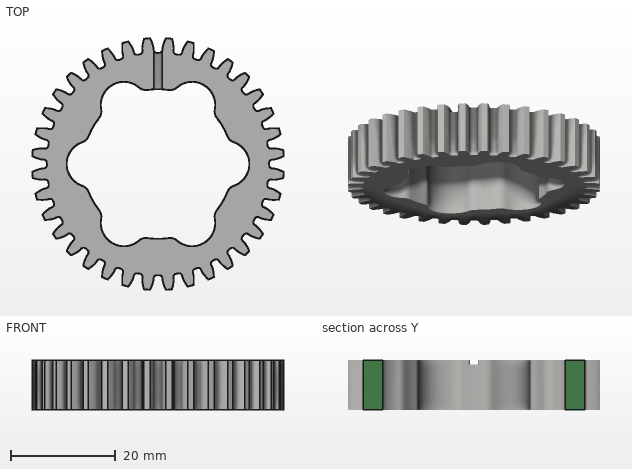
import cadquery as cq
import math

INCH = 25.4
TEETH = 36
DIAMETRAL_PITCH = 20
PRESSURE_ANGLE = math.radians(14.5)
FACE_WIDTH = 0.375 * INCH

MODULE = INCH / DIAMETRAL_PITCH
DEDENDUM = 1.25 * MODULE
PITCH_RADIUS = MODULE * TEETH / 2
TIP_RADIUS = PITCH_RADIUS + MODULE
ROOT_RADIUS = PITCH_RADIUS - DEDENDUM
BASE_RADIUS = PITCH_RADIUS * math.cos(PRESSURE_ANGLE)
ROOT_FILLET = 0.6
TOOTH_STEP = 2 * math.pi / TEETH

FLANK_POINTS = 5
FILLET_POINTS = 3

BORE_RADIUS = 1.125 * INCH / 2
LOBES = 6
LOBE_CENTER_RADIUS = 13.05
LOBE_RADIUS = 4.4
LOBE_FILLET = 2.0

SLOT_WIDTH = INCH / 16
SLOT_DEPTH = INCH / 32
SLOT_MOUTH_FILLET = 0.5

SELECT_TOLERANCE = 0.01


def polar(radius, angle):
    return (radius * math.cos(angle), radius * math.sin(angle))


def involute(pressure_angle):
    return math.tan(pressure_angle) - pressure_angle


def tooth_half_angle(radius):
    """Half the angle a tooth spans at a radius on its involute flank."""
    local_angle = math.acos(min(1.0, BASE_RADIUS / radius))
    return math.pi / (2 * TEETH) + involute(PRESSURE_ANGLE) - involute(local_angle)


def gap_side():
    """Radius and angle from the gap centre of points from the tip down to the root."""
    flank_step = (TIP_RADIUS - BASE_RADIUS) / (FLANK_POINTS - 1)
    flank_radii = [TIP_RADIUS - flank_step * i for i in range(FLANK_POINTS)]
    points = [(r, TOOTH_STEP / 2 - tooth_half_angle(r)) for r in flank_radii]

    wall_angle = TOOTH_STEP / 2 - tooth_half_angle(BASE_RADIUS)
    center_radius = ROOT_RADIUS + ROOT_FILLET
    wall_offset = math.asin(ROOT_FILLET / center_radius)
    center_angle = wall_angle - wall_offset
    fillet_turn = math.pi / 2 - wall_offset
    for i in range(FILLET_POINTS):
        turn = fillet_turn * (1 - i / (FILLET_POINTS - 1))
        inward = center_radius - ROOT_FILLET * math.cos(turn)
        sideways = ROOT_FILLET * math.sin(turn)
        points.append((math.hypot(inward, sideways), center_angle + math.atan2(sideways, inward)))
    return points


def toothed_blank():
    side = gap_side()
    tip_angle = side[0][1]

    outline = cq.Workplane("XY").moveTo(*polar(TIP_RADIUS, -tip_angle))
    for tooth in range(TEETH):
        middle = tooth * TOOTH_STEP
        falling = [polar(r, middle - angle) for r, angle in side[1:]]
        bottom = [polar(ROOT_RADIUS, middle)]
        rising = [polar(r, middle + angle) for r, angle in reversed(side)]
        outline = outline.spline(falling + bottom + rising, includeCurrent=True)
        outline = outline.threePointArc(
            polar(TIP_RADIUS, middle + TOOTH_STEP / 2),
            polar(TIP_RADIUS, middle + TOOTH_STEP - tip_angle),
        )
    return outline.close().extrude(FACE_WIDTH)


def edges_at_radius(body, radius):
    """Vertical edges of the body at a given distance from the gear axis."""
    found = []
    for edge in body.edges("|Z").vals():
        center = edge.Center()
        if abs(math.hypot(center.x, center.y) - radius) < SELECT_TOLERANCE:
            found.append(edge)
    return body.newObject(found)


def lobed_bore():
    lobes = (
        cq.Workplane("XY")
        .polarArray(LOBE_CENTER_RADIUS, 0, 360, LOBES)
        .circle(LOBE_RADIUS)
        .extrude(FACE_WIDTH)
    )
    bore = cq.Workplane("XY").circle(BORE_RADIUS).extrude(FACE_WIDTH).union(lobes)
    return edges_at_radius(bore, BORE_RADIUS).fillet(LOBE_FILLET)


def alignment_slot():
    return (
        cq.Workplane("XY", origin=(0, 0, FACE_WIDTH))
        .rect(SLOT_WIDTH, TIP_RADIUS)
        .extrude(-SLOT_DEPTH)
        .translate((0, TIP_RADIUS / 2, 0))
    )


def round_slot_mouth(body):
    """Round the two corners where the slot walls open into the bore."""
    half_width = SLOT_WIDTH / 2
    mouth_y = math.sqrt(BORE_RADIUS**2 - half_width**2)
    mouth_z = FACE_WIDTH - SLOT_DEPTH / 2
    corners = []
    for side in (-1, 1):
        corner = (side * half_width, mouth_y, mouth_z)
        corners.append(body.edges(cq.selectors.NearestToPointSelector(corner)).val())
    return body.newObject(corners).fillet(SLOT_MOUTH_FILLET)


ring = toothed_blank().cut(lobed_bore())
result = round_slot_mouth(ring.cut(alignment_slot()))